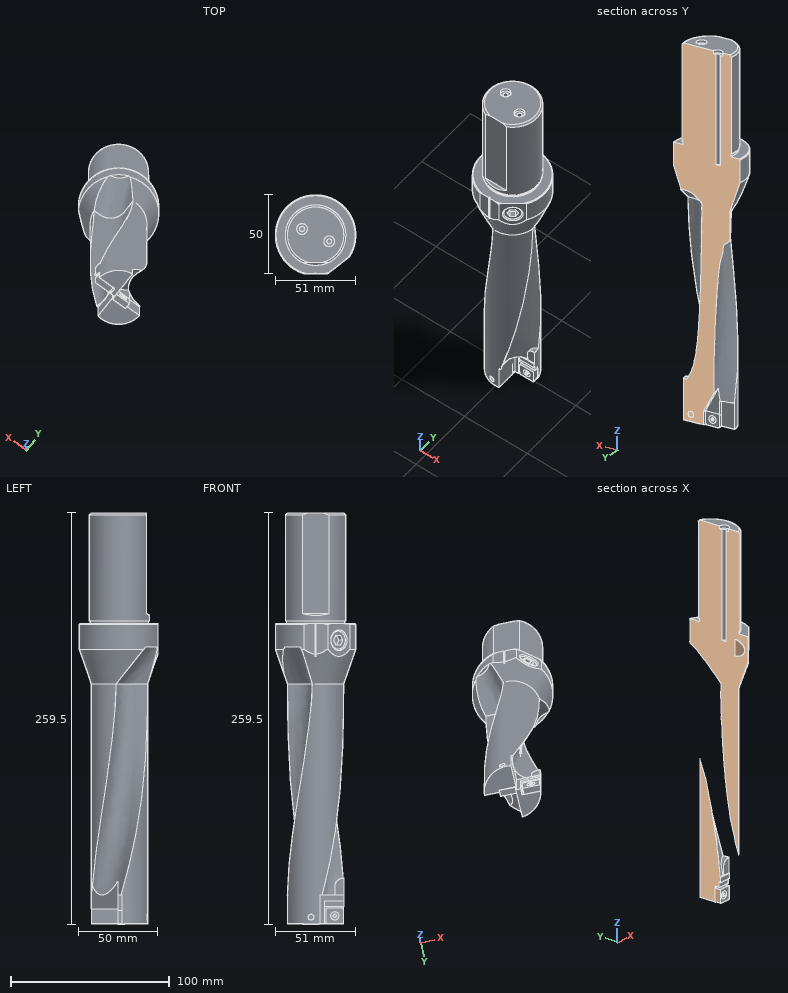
import cadquery as cq
import math

total_length = 259.5

shank_radius = 38.1 / 2
shank_bottom = 191.5
shank_chamfer = 1.3
shank_flat_offset = 17.0
shank_flat_bottom = 194.8
shank_flat_ramp = 1.3
neck_radius = 18.5

flange_radius = 25.5
flange_top = 189.5
flange_bottom = 173.5
flange_chamfer = 0.5
front_flat_offset = 24.5
witness_groove_width = 0.8
witness_groove_depth = 0.5
plug_flat_offset = 23.9
plug_flat_angle = -52.0

drill_radius = 18.0
cone_bottom = 151.7
body_bottom = 0.5

coolant_hole_x = 8.5
coolant_hole_y = 4.0
coolant_mouth_radius = 3.5
coolant_mouth_depth = 2.0
coolant_hole_radius = 1.5
coolant_hole_depth = 77.8

plug_z = 179.2
plug_radius = 5.7
plug_length = 7.8
plug_sink = 0.8
plug_hex_across = 6.2
plug_hex_depth = 4.0

flute_wall_offset = 2.0
flute_corner_radius = 11.2
flute_reach = 36.3
flute_bottom = 18.7
flute_stations = 9
floor_wall_turn = 80.0
floor_wall_power = 1.5
side_wall_turn = 70.0
side_wall_power = 1.6
runout_x_slope = 0.3
runout_y_slope = 0.8
runout_height = 23.3

land_top = 29.3
land_left = 12.2
land_corner_radius = 5.2
land_level = 0.5

chip_wall_x = 2.9
chip_pocket_top = 15.0
seat_left = 5.5
seat_top = 11.5
seat_side_clearance = 1.0

inner_wall_top_x = -9.3
inner_wall_top = 31.0
inner_wall_bend = 9.9
inner_gash_floor = -1.5

insert_height = 9.5
insert_thickness = 4.2
insert_corner_radius = 0.8
insert_face_level = 1.0
outer_insert_width = 11.2
outer_insert_bottom = 0.8
inner_insert_right = 2.3
inner_insert_width = 10.5
screw_head_radius = 2.5
screw_head_height = 1.5
screw_shank_radius = 1.8
screw_socket_radius = 1.0
screw_socket_depth = 1.0
screw_length = 10.5

outer_insert_x = seat_left + seat_side_clearance + outer_insert_width / 2
inner_insert_x = inner_insert_right - inner_insert_width / 2
flute_length = cone_bottom - flute_bottom


def box(x_range, y_range, z_range):
    """Axis-aligned box between the given limits."""
    size = [high - low for low, high in (x_range, y_range, z_range)]
    corner = (x_range[0], y_range[0], z_range[0])
    return cq.Workplane("XY").box(*size, centered=False).translate(corner)


def half_turn(shape):
    """Copy of the shape turned half way round the tool axis."""
    return shape.rotate((0, 0, 0), (0, 0, 1), 180)


def turned_body():
    profile = [
        (0, body_bottom),
        (drill_radius, body_bottom),
        (drill_radius, cone_bottom),
        (flange_radius, flange_bottom),
        (flange_radius, flange_top - flange_chamfer),
        (flange_radius - flange_chamfer, flange_top),
        (neck_radius, flange_top),
        (neck_radius, shank_bottom),
        (shank_radius, shank_bottom),
        (shank_radius, total_length - shank_chamfer),
        (shank_radius - shank_chamfer, total_length),
        (0, total_length),
    ]
    return cq.Workplane("XZ").polyline(profile).close().revolve(360, (0, 0), (0, 1))


def shank_flat_cut():
    """Clamping flat on the -Y side, with a sloped lower end."""
    ramp_depth = shank_radius - shank_flat_offset
    outline = [
        (-shank_flat_offset, total_length),
        (-shank_flat_offset, shank_flat_bottom + shank_flat_ramp),
        (-shank_flat_offset - ramp_depth, shank_flat_bottom),
        (-flange_radius, shank_flat_bottom),
        (-flange_radius, total_length),
    ]
    return cq.Workplane("YZ").polyline(outline).close().extrude(shank_radius, both=True)


def flange_flat_cut(offset, angle):
    """Material outside a flat at the given distance and direction from the axis."""
    cutter = box(
        (offset, 2 * flange_radius),
        (-flange_radius, flange_radius),
        (cone_bottom, flange_top),
    )
    return cutter.rotate((0, 0, 0), (0, 0, 1), angle)


def witness_groove():
    half_width = witness_groove_width / 2
    floor_y = -front_flat_offset + witness_groove_depth
    return box((-half_width, half_width), (-flange_radius, floor_y), (cone_bottom, flange_top))


def coolant_holes():
    """Two blind holes with wider mouths in the end of the shank."""
    centers = [(-coolant_hole_x, coolant_hole_y), (coolant_hole_x, -coolant_hole_y)]
    top = cq.Workplane("XY").workplane(offset=total_length)
    mouths = top.pushPoints(centers).circle(coolant_mouth_radius).extrude(-coolant_mouth_depth)
    bores = top.pushPoints(centers).circle(coolant_hole_radius).extrude(-coolant_hole_depth)
    return mouths.union(bores)


def flute_outline(z):
    """Closed flute outline at height z: a side wall, a round corner and a floor wall."""
    progress = (cone_bottom - z) / flute_length
    side_angle = math.radians(180 - side_wall_turn * progress**side_wall_power)
    floor_angle = math.radians(270 - floor_wall_turn * progress**floor_wall_power)
    side = cq.Vector(math.cos(side_angle), math.sin(side_angle))
    floor = cq.Vector(math.cos(floor_angle), math.sin(floor_angle))
    opening = floor_angle - side_angle
    bisector = (side + floor).normalized()

    corner = (side - floor) * (flute_wall_offset / math.sin(opening))
    center = corner + bisector * (flute_corner_radius / math.sin(opening / 2))
    tangent_length = flute_corner_radius / math.tan(opening / 2)
    lift = cq.Vector(0, 0, z)
    side_end = corner + side * flute_reach + lift
    floor_end = corner + floor * flute_reach + lift
    side_tangent = corner + side * tangent_length + lift
    floor_tangent = corner + floor * tangent_length + lift
    arc_middle = center - bisector * flute_corner_radius + lift
    outer_corner = corner + (side + floor) * flute_reach + lift
    return cq.Wire.assembleEdges([
        cq.Edge.makeLine(side_end, side_tangent),
        cq.Edge.makeThreePointArc(side_tangent, arc_middle, floor_tangent),
        cq.Edge.makeLine(floor_tangent, floor_end),
        cq.Edge.makeLine(floor_end, outer_corner),
        cq.Edge.makeLine(outer_corner, side_end),
    ])


def flute_cuts():
    """Twisted flute and its sloped run-out through the cone."""
    step = flute_length / (flute_stations - 1)
    outlines = [flute_outline(flute_bottom + step * i) for i in range(flute_stations)]
    twisted = cq.Solid.makeLoft(outlines)
    runout_path = cq.Vector(-runout_x_slope, -runout_y_slope, 1) * runout_height
    runout = cq.Solid.extrudeLinear(flute_outline(cone_bottom), [], runout_path)
    return [cq.Workplane(twisted), cq.Workplane(runout)]


def outer_land():
    """Flat-faced block left standing at the lower end of the outer flute."""
    block = box((land_left, flange_radius), (-land_level, flange_radius), (0, land_top))
    return block.edges("|Y and >Z and <X").fillet(land_corner_radius)


def outer_chip_pocket():
    """Chip space beside the outer insert, and the deeper seat around it."""
    x_end = flange_radius
    gash = box((chip_wall_x, x_end), (-flange_radius, -insert_face_level), (0, flute_bottom))
    pocket = box((seat_left, x_end), (-flange_radius, 0), (0, chip_pocket_top))
    seat = box((seat_left, x_end), (-flange_radius, insert_thickness - insert_face_level), (0, seat_top))
    return gash.union(pocket).union(seat)


def inner_chip_pocket():
    """Space in front of the inner insert, under a wall that slopes outward at its top."""
    outline = [
        (-flange_radius, 0),
        (inner_insert_right, 0),
        (inner_insert_right, inner_wall_bend),
        (inner_wall_top_x, inner_wall_top),
        (-flange_radius, inner_wall_top),
    ]
    front = cq.Workplane("XZ", origin=(0, flange_radius, 0)).polyline(outline).close()
    chip_space = front.extrude(flange_radius - insert_face_level)
    insert_left = inner_insert_right - inner_insert_width
    gash = box((-flange_radius, insert_left), (inner_gash_floor, flange_radius), (0, flute_bottom))
    return chip_space.union(gash)


def inner_screw_exit():
    """Hole in line with the inner screw, open on the -Y side of the drill."""
    middle = cq.Workplane("XZ", origin=(inner_insert_x, 0, insert_height / 2))
    return middle.circle(screw_shank_radius).extrude(drill_radius)


def insert_blank(center_x, bottom, width):
    """Round-cornered block whose cutting face looks to -Y."""
    blank = box(
        (center_x - width / 2, center_x + width / 2),
        (-insert_face_level, insert_thickness - insert_face_level),
        (bottom, bottom + insert_height),
    )
    return blank.edges("|Y").fillet(insert_corner_radius)


def screw_blank(center_x, bottom):
    """Screw without its socket, its head flush with the cutting face."""
    start = cq.Workplane("XZ", origin=(center_x, -insert_face_level, bottom + insert_height / 2))
    head = start.circle(screw_head_radius).extrude(-screw_head_height)
    shank = start.circle(screw_shank_radius).extrude(-screw_length)
    return head.union(shank)


def make_insert(center_x, bottom, width):
    return insert_blank(center_x, bottom, width).cut(screw_blank(center_x, bottom))


def make_screw(center_x, bottom):
    head_face = screw_blank(center_x, bottom).faces("<Y").workplane(centerOption="CenterOfMass")
    return head_face.circle(screw_socket_radius).cutBlind(-screw_socket_depth)


plug_angle = math.radians(plug_flat_angle)
plug_direction = cq.Vector(math.cos(plug_angle), math.sin(plug_angle), 0)


def plug_plane(distance):
    """Plane across the plug axis at a distance from the tool axis, facing outward."""
    origin = plug_direction * distance + cq.Vector(0, 0, plug_z)
    return cq.Plane(origin=origin, xDir=(0, 0, 1), normal=plug_direction)


def make_plug():
    """Round plug with a hexagon socket in its outer end."""
    outer_end = cq.Workplane(plug_plane(plug_flat_offset - plug_sink))
    plug = outer_end.circle(plug_radius).extrude(-plug_length)
    socket = outer_end.polygon(6, plug_hex_across, circumscribed=True).extrude(-plug_hex_depth)
    return plug.cut(socket)


def plug_hole():
    """Hole that holds the plug, countersunk at its mouth."""
    mouth = cq.Workplane(plug_plane(plug_flat_offset))
    hole = mouth.circle(plug_radius).extrude(-plug_length - plug_sink)
    countersink = mouth.circle(plug_radius + plug_sink).extrude(-plug_sink, taper=45)
    return hole.union(countersink)


body = turned_body().cut(shank_flat_cut())
body = body.cut(flange_flat_cut(front_flat_offset, -90))
body = body.cut(flange_flat_cut(plug_flat_offset, plug_flat_angle))
body = body.cut(witness_groove()).cut(coolant_holes()).cut(plug_hole())
for flute in flute_cuts():
    body = body.cut(flute).cut(half_turn(flute).cut(outer_land()))
body = body.cut(outer_chip_pocket()).cut(inner_chip_pocket()).cut(inner_screw_exit())

inserts = []
screws = []
for center_x, bottom, width, turned in (
    (outer_insert_x, outer_insert_bottom, outer_insert_width, False),
    (-inner_insert_x, 0, inner_insert_width, True),
):
    insert = make_insert(center_x, bottom, width)
    screw = make_screw(center_x, bottom)
    recess = insert_blank(center_x, bottom, width).union(screw_blank(center_x, bottom))
    if turned:
        insert, screw, recess = half_turn(insert), half_turn(screw), half_turn(recess)
    inserts.append(insert.val())
    screws.append(screw.val())
    body = body.cut(recess)

plug = make_plug()

result = cq.Compound.makeCompound([body.val(), *inserts, *screws, plug.val()])